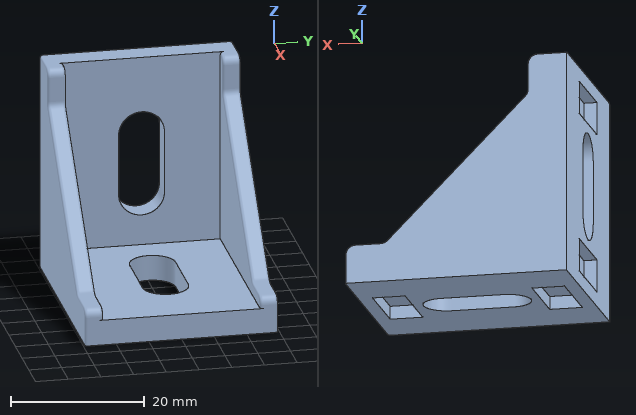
import cadquery as cq

LEG_LENGTH = 34.0
WIDTH = 29.5
PLATE_THICKNESS = 4.0
RIB_THICKNESS = 2.75
RIB_TIP = 6.0
CORNER_RADIUS = 1.5
EDGE_RADIUS = 0.5

SLOT_LENGTH = 16.5
SLOT_WIDTH = 7.0
POCKET_WIDTH = 12.0
POCKET_HEIGHT = 5.0
POCKET_DEPTH = 2.0
POCKET_OFFSET = 12.25

LEG_MIDDLE = LEG_LENGTH / 2
RIB_SHOULDER = LEG_LENGTH - RIB_TIP
PLATE_WIDTH = WIDTH - 2 * (RIB_THICKNESS - EDGE_RADIUS)


def box(size_x, size_y, size_z):
    """Box centred on Y, starting at X = 0 and Z = 0."""
    return cq.Workplane("XY").box(size_x, size_y, size_z, centered=(False, True, False))


def make_rib():
    """Triangular side rib with stepped tips, lying from Y = -RIB_THICKNESS to Y = 0."""
    outline = [
        (0, 0),
        (LEG_LENGTH, 0),
        (LEG_LENGTH, RIB_TIP),
        (RIB_SHOULDER, RIB_TIP),
        (RIB_TIP, RIB_SHOULDER),
        (RIB_TIP, LEG_LENGTH),
        (0, LEG_LENGTH),
    ]
    rib = cq.Workplane("XZ").polyline(outline).close().extrude(RIB_THICKNESS)

    margin = RIB_TIP / 2
    zone_end = LEG_LENGTH + margin
    corner_zone = cq.selectors.BoxSelector((margin, -WIDTH, margin), (zone_end, WIDTH, zone_end))
    rib = rib.edges("|Y").edges(corner_zone).fillet(CORNER_RADIUS)

    return rib.faces("<Y or >Y").edges("not(<X or <Z)").fillet(EDGE_RADIUS)


def make_leg_cutter():
    """Slot and two pockets of the horizontal leg, whose mounting face is Z = 0."""
    slot = (
        cq.Workplane("XY")
        .center(LEG_MIDDLE, 0)
        .slot2D(SLOT_LENGTH, SLOT_WIDTH)
        .extrude(PLATE_THICKNESS)
    )
    pockets = (
        cq.Workplane("XY")
        .pushPoints([(LEG_MIDDLE - POCKET_OFFSET, 0), (LEG_MIDDLE + POCKET_OFFSET, 0)])
        .rect(POCKET_HEIGHT, POCKET_WIDTH)
        .extrude(POCKET_DEPTH)
    )
    return slot.union(pockets)


def swap_legs(shape):
    """Exchange X and Z for a shape symmetric about Y = 0."""
    return shape.rotate((0, 0, 0), (1, 0, 1), 180)


base_plate = box(LEG_LENGTH, PLATE_WIDTH, PLATE_THICKNESS)
upright_plate = swap_legs(base_plate)

near_rib = make_rib().translate((0, RIB_THICKNESS - WIDTH / 2, 0))
far_rib = near_rib.mirror("XZ")

body = base_plate.union(upright_plate).union(near_rib).union(far_rib)

leg_cutter = make_leg_cutter()
result = body.cut(leg_cutter).cut(swap_legs(leg_cutter))